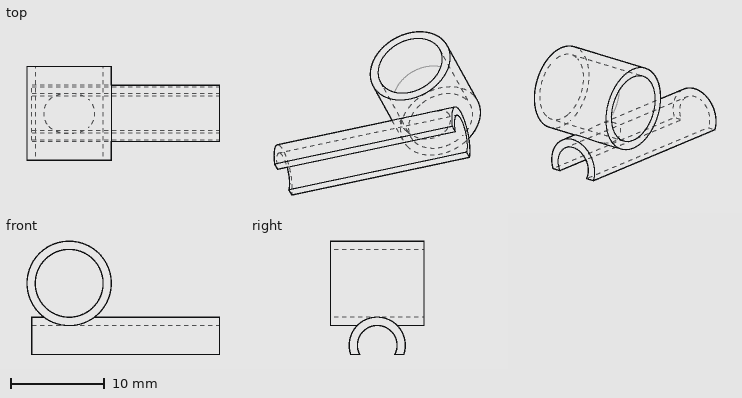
import cadquery as cq

WALL = 0.9
RING_BORE_DIA = 7.2
RING_LENGTH = 10.0
CLIP_OUTER_DIA = 6.0
CLIP_LENGTH = 20.0
CLIP_START_X = -4.0
LIP_DROP = 1.0

ring_bore_radius = RING_BORE_DIA / 2
ring_outer_radius = ring_bore_radius + WALL
clip_outer_radius = CLIP_OUTER_DIA / 2
clip_bore_radius = clip_outer_radius - WALL
clip_axis_z = -(ring_bore_radius + clip_outer_radius)
clip_bottom_z = clip_axis_z - LIP_DROP


def make_ring():
    """Tube along Y, centred on the origin."""
    return (
        cq.Workplane("XZ")
        .circle(ring_outer_radius)
        .circle(ring_bore_radius)
        .extrude(RING_LENGTH / 2, both=True)
    )


def make_clip():
    """Tube along X, cut flat below its axis so that it opens downwards."""
    tube = (
        cq.Workplane("YZ", origin=(CLIP_START_X, 0, clip_axis_z))
        .circle(clip_outer_radius)
        .circle(clip_bore_radius)
        .extrude(CLIP_LENGTH)
    )
    opening = (
        cq.Workplane("XY", origin=(CLIP_START_X, 0, clip_bottom_z))
        .rect(2 * CLIP_LENGTH, CLIP_OUTER_DIA)
        .extrude(-clip_outer_radius)
    )
    return tube.cut(opening)


result = make_ring().union(make_clip())